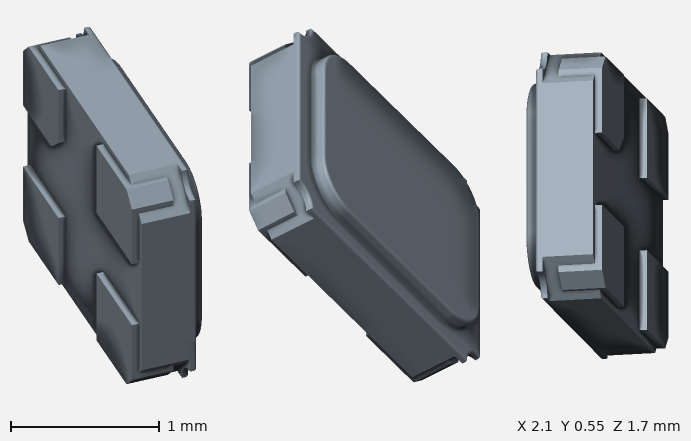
import cadquery as cq

BASE_LENGTH = 2.1
BASE_WIDTH = 1.7
BASE_HEIGHT = 0.4

CHAMFERED_HEIGHT = 0.35
CORNER_CHAMFER_X = 0.237
CORNER_CHAMFER_Z = 0.25
NOTCH_RADIUS = 0.15
RIM_FILLET = 0.02

LID_LENGTH = BASE_LENGTH - 2 * NOTCH_RADIUS
LID_WIDTH = BASE_WIDTH - 2 * NOTCH_RADIUS
LID_HEIGHT = 0.1
LID_CORNER_RADIUS = 0.3
LID_FILLET = 0.02

PAD_LENGTH = 0.65
PAD_WIDTH = 0.55
PAD_THICKNESS = 0.05
PAD_INSET = 0.05
PAD_CORNER_CHAMFER = 0.1
COLUMN_HEIGHT = 0.25

MARK_BEVEL_X = 0.139
MARK_BEVEL_Z = 0.115

SIDES = (-1, 1)


def block(length, width, bottom, height):
    """Block centred on the Y axis, rising from y = bottom."""
    return cq.Workplane("XY").box(length, height, width).translate((0, bottom + height / 2, 0))


def extrude_upward(outline, bottom, height):
    """Prism with an outline of (x, z) points, rising from y = bottom."""
    return cq.Workplane("XZ", origin=(0, bottom, 0)).polyline(outline).close().extrude(-height)


def make_chamfered_base():
    """Lower part of the base, an octagon formed by chamfering the four corners."""
    half_length = BASE_LENGTH / 2
    half_width = BASE_WIDTH / 2
    flat_x = half_length - CORNER_CHAMFER_X
    flat_z = half_width - CORNER_CHAMFER_Z
    outline = [
        (half_length, -flat_z),
        (half_length, flat_z),
        (flat_x, half_width),
        (-flat_x, half_width),
        (-half_length, flat_z),
        (-half_length, -flat_z),
        (-flat_x, -half_width),
        (flat_x, -half_width),
    ]
    return extrude_upward(outline, 0, CHAMFERED_HEIGHT)


def make_notched_rim():
    """Upper part of the base, with a quarter-round notch at each corner."""
    rim_height = BASE_HEIGHT - CHAMFERED_HEIGHT
    rim = block(BASE_LENGTH, BASE_WIDTH, CHAMFERED_HEIGHT, rim_height)
    for side_x in SIDES:
        for side_z in SIDES:
            corner = cq.Vector(side_x * BASE_LENGTH / 2, CHAMFERED_HEIGHT, side_z * BASE_WIDTH / 2)
            rim = rim.cut(cq.Solid.makeCylinder(NOTCH_RADIUS, rim_height, corner, cq.Vector(0, 1, 0)))
    return rim.faces(">Y").edges().fillet(RIM_FILLET)


def make_lid():
    """Raised lid with rounded corners and a rounded top edge."""
    lid = block(LID_LENGTH, LID_WIDTH, BASE_HEIGHT, LID_HEIGHT)
    lid = lid.edges("|Y").fillet(LID_CORNER_RADIUS)
    return lid.faces(">Y").edges().fillet(LID_FILLET)


def make_lid_foot():
    """Concave fillet that runs around the lid where it meets the base."""
    foot = block(LID_LENGTH + 2 * LID_FILLET, LID_WIDTH + 2 * LID_FILLET, BASE_HEIGHT, LID_FILLET)
    foot = foot.edges("|Y").fillet(LID_CORNER_RADIUS + LID_FILLET)
    groove_profile = (
        cq.Workplane("XY", origin=(LID_LENGTH / 2 + LID_FILLET, BASE_HEIGHT + LID_FILLET, 0))
        .circle(LID_FILLET)
    )
    groove_path = foot.faces(">Y").wires()
    return foot.cut(groove_profile.sweep(groove_path))


def make_package():
    """Base and lid as one body."""
    return make_chamfered_base().union(make_notched_rim()).union(make_lid()).union(make_lid_foot())


def make_pad(side_x, side_z, package, is_marked):
    """Terminal pad and column for one corner of the package."""
    outer_x = BASE_LENGTH / 2 - PAD_INSET
    outer_z = BASE_WIDTH / 2 - PAD_INSET
    inner_x = outer_x - PAD_LENGTH
    inner_z = outer_z - PAD_WIDTH
    if is_marked:
        inner_corner = [(inner_x, inner_z + MARK_BEVEL_Z), (inner_x + MARK_BEVEL_X, inner_z)]
    else:
        inner_corner = [(inner_x, inner_z)]
    outline = inner_corner + [
        (outer_x, inner_z),
        (outer_x, outer_z - PAD_CORNER_CHAMFER),
        (outer_x - PAD_CORNER_CHAMFER, outer_z),
        (inner_x, outer_z),
    ]
    placed_outline = [(side_x * x, side_z * z) for x, z in outline]
    pad = extrude_upward(placed_outline, -PAD_THICKNESS, PAD_THICKNESS + COLUMN_HEIGHT)
    return pad.cut(package)


package = make_package()

pads = []
for side_x in SIDES:
    for side_z in SIDES:
        is_marked = side_x < 0 < side_z
        pads.append(make_pad(side_x, side_z, package, is_marked))

result = cq.Compound.makeCompound([package.val(), *[pad.val() for pad in pads]])